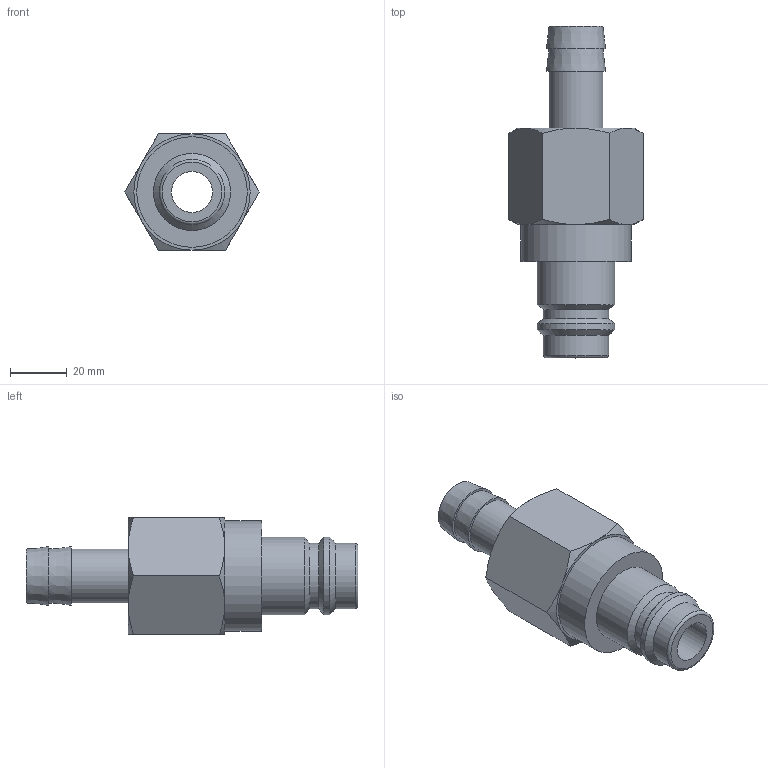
import cadquery as cq
import math


plug_d = 27.2
neck_d = 23.0
tip_round = 1.0
collar_start = 7.9
collar_front_taper = 2.1
collar_land = 2.1
collar_rear_taper = 1.7
groove_end = 17.0
groove_end_taper = 1.75

boss_start = 34.0
boss_d = 39.0
nut_start = 47.0
nut_length = 34.0
hex_sides = 6
across_flats = 41.0
nut_chamfer_angle = 30.0

stem_d = 19.0
barb_d = 20.8
barb_length = 8.0
barb_count = 2
total_length = 117.0

bore_d = 14.5

nut_end = nut_start + nut_length
across_corners = across_flats / math.cos(math.pi / hex_sides)


def turned(outline):
    """Revolve a closed (radius, Y) outline about the Y axis."""
    return outline.close().revolve(360, (0, 0, 0), (0, 1, 0))


def make_plug():
    """Front plug with a rounded tip, a tapered collar and a groove behind it."""
    plug_r = plug_d / 2
    neck_r = neck_d / 2
    land_start = collar_start + collar_front_taper
    land_end = land_start + collar_land
    round_mid = tip_round * (1 - math.sqrt(0.5))
    return turned(
        cq.Workplane("XY")
        .moveTo(0, 0)
        .lineTo(neck_r - tip_round, 0)
        .threePointArc((neck_r - round_mid, round_mid), (neck_r, tip_round))
        .lineTo(neck_r, collar_start)
        .lineTo(plug_r, land_start)
        .lineTo(plug_r, land_end)
        .lineTo(neck_r, land_end + collar_rear_taper)
        .lineTo(neck_r, groove_end)
        .lineTo(plug_r, groove_end + groove_end_taper)
        .lineTo(plug_r, boss_start)
        .lineTo(0, boss_start)
    )


def cylinder(diameter, start, end):
    """Solid cylinder along +Y between two Y positions."""
    return (
        cq.Workplane("XZ", origin=(0, start, 0))
        .circle(diameter / 2)
        .extrude(start - end)
    )


def make_nut():
    """Hexagon with corners on X, its ends coned down to the across-flats circle."""
    hexagon = (
        cq.Workplane("XZ", origin=(0, nut_start, 0))
        .polygon(hex_sides, across_corners)
        .extrude(-nut_length)
    )
    flat_r = across_flats / 2
    corner_r = across_corners / 2
    drop = (corner_r - flat_r) * math.tan(math.radians(nut_chamfer_angle))
    envelope = turned(
        cq.Workplane("XY")
        .moveTo(0, nut_start)
        .lineTo(flat_r, nut_start)
        .lineTo(corner_r, nut_start + drop)
        .lineTo(corner_r, nut_end - drop)
        .lineTo(flat_r, nut_end)
        .lineTo(0, nut_end)
    )
    return hexagon.intersect(envelope)


def make_barb(end):
    """Hose barb that narrows toward its free end at the given Y."""
    start = end - barb_length
    return turned(
        cq.Workplane("XY")
        .moveTo(0, start)
        .lineTo(barb_d / 2, start)
        .lineTo(stem_d / 2, end)
        .lineTo(0, end)
    )


result = make_plug()
result = result.union(cylinder(boss_d, boss_start, nut_start))
result = result.union(make_nut())
result = result.union(cylinder(stem_d, nut_end, total_length))
for index in range(barb_count):
    result = result.union(make_barb(total_length - index * barb_length))
result = result.cut(cylinder(bore_d, 0, total_length))